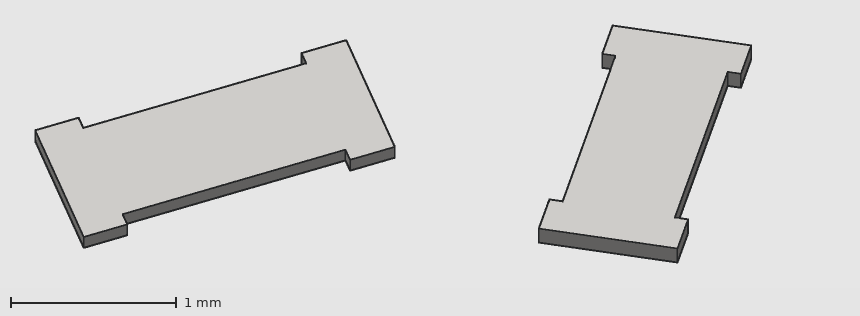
import cadquery as cq

length = 2.0
width = 0.86
thickness = 0.11

front_head_length = 0.28
back_head_length = 0.288
waist_width = 0.695


def notch(side):
    """Cutter for the recess along one long edge; side is -1 or +1 in X."""
    notch_length = length - front_head_length - back_head_length
    notch_depth = (width - waist_width) / 2
    center_x = side * (waist_width + notch_depth) / 2
    center_y = (front_head_length - back_head_length) / 2
    return (
        cq.Workplane("XY")
        .box(notch_depth, notch_length, thickness)
        .translate((center_x, center_y, 0))
    )


result = cq.Workplane("XY").box(width, length, thickness)
for side in (-1, 1):
    result = result.cut(notch(side))